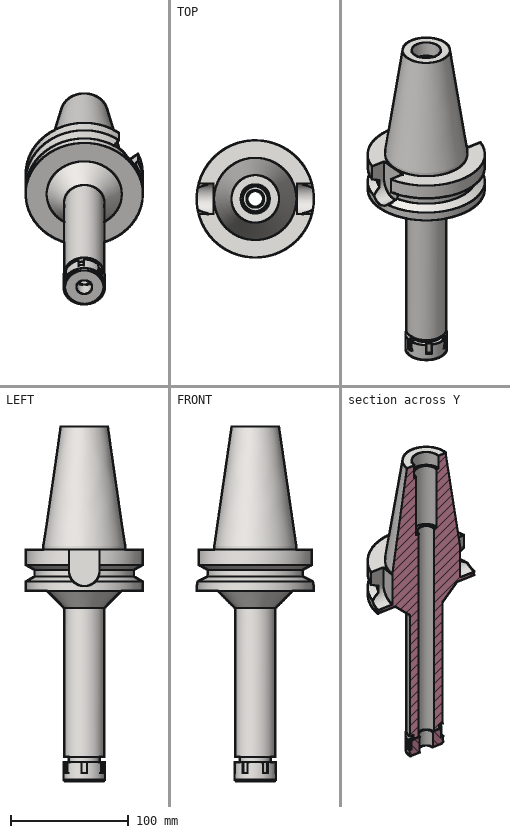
import cadquery as cq
import math

TOTAL_HEIGHT = 301.8
NUT_TOP = 16.3
TUBE_BOTTOM = 20.8
TUBE_TOP = 147.3
FLANGE_BOTTOM = 162.0
LOWER_RIM_TOP = 170.0
UPPER_RIM_BOTTOM = 184.0
FLANGE_TOP = 197.0
GAUGE_LINE = 200.0

FLANGE_RADIUS = 100.0 / 2
GROOVE_RADIUS = 42.5
GROOVE_FLANK_ANGLE = 30.0
TAPER_LARGE_RADIUS = 35.0
TAPER_SMALL_RADIUS = 20.2
TUBE_RADIUS = 17.2
NECK_RADIUS = 13.3
CONE_RADIUS = TUBE_RADIUS + FLANGE_BOTTOM - TUBE_TOP

GROOVE_FLANK_HEIGHT = (FLANGE_RADIUS - GROOVE_RADIUS) * math.tan(math.radians(GROOVE_FLANK_ANGLE))
GROOVE_FLOOR_BOTTOM = LOWER_RIM_TOP + GROOVE_FLANK_HEIGHT
GROOVE_FLOOR_TOP = UPPER_RIM_BOTTOM - GROOVE_FLANK_HEIGHT

MOUTH_RADIUS = 12.5
MOUTH_DEPTH = 13.3
THREAD_RADIUS = 10.5
THREAD_DEPTH = 60.5
BORE_RADIUS = 7.5

DRIVE_SLOT_WIDTH = 26.0
DRIVE_SLOT_DEPTH = 31.0
DRIVE_SLOT_FLOOR = 35.3

NUT_RADIUS = 17.8
NUT_BORE_RADIUS = 6.5
NUT_CHAMFER = 1.5
SPANNER_SLOT_COUNT = 6
SPANNER_SLOT_WIDTH = 4.8
SPANNER_SLOT_HEIGHT = 9.0
SPANNER_SLOT_DEPTH = 2.0


def holder_blank():
    """Turned outside of the holder, with one continuous bore of stepped radius."""
    mouth_floor = TOTAL_HEIGHT - MOUTH_DEPTH
    thread_floor = mouth_floor - THREAD_DEPTH
    profile = [
        (BORE_RADIUS, NUT_TOP),
        (NECK_RADIUS, NUT_TOP),
        (NECK_RADIUS, TUBE_BOTTOM),
        (TUBE_RADIUS, TUBE_BOTTOM),
        (TUBE_RADIUS, TUBE_TOP),
        (CONE_RADIUS, FLANGE_BOTTOM),
        (FLANGE_RADIUS, FLANGE_BOTTOM),
        (FLANGE_RADIUS, LOWER_RIM_TOP),
        (GROOVE_RADIUS, GROOVE_FLOOR_BOTTOM),
        (GROOVE_RADIUS, GROOVE_FLOOR_TOP),
        (FLANGE_RADIUS, UPPER_RIM_BOTTOM),
        (FLANGE_RADIUS, FLANGE_TOP),
        (TAPER_LARGE_RADIUS, FLANGE_TOP),
        (TAPER_LARGE_RADIUS, GAUGE_LINE),
        (TAPER_SMALL_RADIUS, TOTAL_HEIGHT),
        (MOUTH_RADIUS, TOTAL_HEIGHT),
        (MOUTH_RADIUS, mouth_floor),
        (THREAD_RADIUS, mouth_floor),
        (THREAD_RADIUS, thread_floor),
        (BORE_RADIUS, thread_floor),
    ]
    return cq.Workplane("XZ").polyline(profile).close().revolve(360, (0, 0, 0), (0, 1, 0))


def drive_slot(side):
    """Round-bottomed slot cutter, open at the flange top and rim; side is -1 or +1 along X."""
    half_width = DRIVE_SLOT_WIDTH / 2
    slot_bottom = FLANGE_TOP - DRIVE_SLOT_DEPTH
    arc_height = slot_bottom + half_width
    return (
        cq.Workplane("YZ", origin=(side * DRIVE_SLOT_FLOOR, 0, 0))
        .moveTo(-half_width, FLANGE_TOP)
        .lineTo(-half_width, arc_height)
        .threePointArc((0, slot_bottom), (half_width, arc_height))
        .lineTo(half_width, FLANGE_TOP)
        .close()
        .extrude(side * FLANGE_RADIUS)
    )


def make_holder():
    body = holder_blank()
    for side in (-1, 1):
        body = body.cut(drive_slot(side))
    return body


def spanner_slot(angle):
    """Slot cutter through the nut rim, open at the nut top."""
    return (
        cq.Workplane("XY")
        .box(NUT_RADIUS, SPANNER_SLOT_WIDTH, SPANNER_SLOT_HEIGHT, centered=(False, True, False))
        .translate((NUT_RADIUS - SPANNER_SLOT_DEPTH, 0, NUT_TOP - SPANNER_SLOT_HEIGHT))
        .rotate((0, 0, 0), (0, 0, 1), angle)
    )


def make_nut():
    """Ring with a chamfered lower rim and evenly spaced spanner slots."""
    body = cq.Workplane("XY").circle(NUT_RADIUS).extrude(NUT_TOP)
    body = body.faces("<Z").chamfer(NUT_CHAMFER)
    body = body.faces(">Z").workplane().circle(NUT_BORE_RADIUS).cutThruAll()
    for index in range(SPANNER_SLOT_COUNT):
        body = body.cut(spanner_slot(index * 360 / SPANNER_SLOT_COUNT))
    return body


holder = make_holder()
nut = make_nut()

result = cq.Compound.makeCompound([holder.val(), nut.val()])